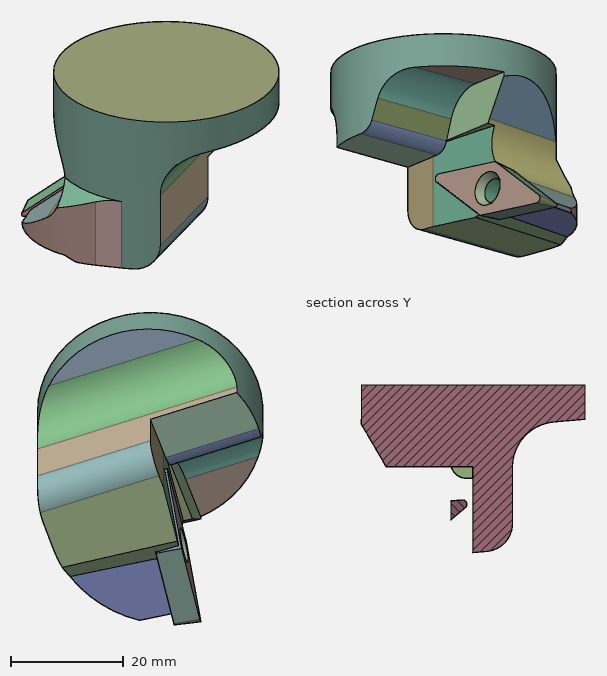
import cadquery as cq
import math

HEAD_DIAMETER = 40.0
HEAD_RADIUS = HEAD_DIAMETER / 2
HEAD_DEPTH = 16.55
TOTAL_HEIGHT = 32.0
OVERSIZE = 70.3

OVERHANG = 46.85 - HEAD_RADIUS
NOSE_RADIUS = 0.8
INSCRIBED_DIAMETER = 9.5
INSERT_ANGLE = 35.0
INSERT_THICKNESS = 4.75
RELIEF_ANGLE = 5.0
LEAD_ANGLE = 5.0
RAKE_ANGLE = 6.2
HOLE_DIAMETER = 4.4
HOLE_RIM_DIAMETER = 6.2
SINK_ANGLE = 60.0

BULGE_RADIUS = 22.05
BULGE_FLAT = 5.0
BULGE_SPAN = 20.6
SHOULDER_ANGLE = 60.0

POST_SIDE_X = 7.0
POST_CEILING_Z = -7.2
POST_FOOT_Z = -29.1
CEILING_FILLET = 7.95
FOOT_FILLET = 5.0

STEP_START_X = -13.35
STEP_END_X = -10.4
STEP_HEIGHT = 1.05

FLUTE_Y = 0.95
FLUTE_TOP = (-19.85, -6.2)
FLUTE_TIP = (-24.55, -30.1)
TIP_CHOP = (0.35, 0.65)
FLUTE_UPPER_ANGLE = 60.0
FLUTE_LOWER_ANGLE = LEAD_ANGLE + INSERT_ANGLE
FLUTE_FILLET = 8.05

POCKET_Y = 2.5
POCKET_CEILING_Z = -6.1
POCKET_WALL_X = -6.8
POCKET_WALL_ANGLE = 19.0
POCKET_FILLET = 7.05
POCKET_LIP_RADIUS = 2.8
RECESS_TOP_Z = -14.55
RECESS_DEPTH = 0.4

RAKE = math.radians(RAKE_ANGLE)
LEAD_SLOPE = math.tan(math.radians(LEAD_ANGLE))


def tilted_plane(x, y, z):
    """Plane along the insert face: local x along the face, local y up, normal into the holder."""
    return cq.Plane(
        origin=(x, y, z),
        xDir=(math.cos(RAKE), math.sin(RAKE), 0),
        normal=(math.sin(RAKE), -math.cos(RAKE), 0),
    )


NOSE_X = -OVERHANG + NOSE_RADIUS * math.cos(RAKE)
NOSE_Y = NOSE_RADIUS * math.sin(RAKE)
NOSE_PLANE = tilted_plane(NOSE_X, NOSE_Y, -TOTAL_HEIGHT + NOSE_RADIUS)


def polar(length, degrees):
    angle = math.radians(degrees)
    return length * math.cos(angle), length * math.sin(angle)


def make_insert_blank():
    """Tapered rhombus with rounded acute corners, without its hole."""
    side = INSCRIBED_DIAMETER / math.sin(math.radians(INSERT_ANGLE))
    half_diagonal = side * math.cos(math.radians(INSERT_ANGLE / 2))
    short_half = side * math.sin(math.radians(INSERT_ANGLE / 2))
    nose_offset = NOSE_RADIUS / math.sin(math.radians(INSERT_ANGLE / 2))
    bisector = LEAD_ANGLE + INSERT_ANGLE / 2
    center = polar(half_diagonal - nose_offset, bisector)
    points = []
    for reach, turn in ((half_diagonal, 180), (short_half, 270), (half_diagonal, 0), (short_half, 90)):
        dx, dy = polar(reach, bisector + turn)
        points.append((center[0] + dx, center[1] + dy))
    outline = cq.Sketch().polygon(points + points[:1])
    acute = outline.vertices(cq.selectors.NearestToPointSelector((*points[0], 0)))
    outline = acute.fillet(NOSE_RADIUS).reset()
    acute = outline.vertices(cq.selectors.NearestToPointSelector((*points[2], 0)))
    outline = acute.fillet(NOSE_RADIUS).reset()
    blank = cq.Workplane(NOSE_PLANE).placeSketch(outline).extrude(INSERT_THICKNESS, taper=RELIEF_ANGLE)
    return blank, center


def make_insert(blank, center):
    """Insert with a through hole that is countersunk on the cutting face."""
    bore = cq.Workplane(NOSE_PLANE).center(*center).circle(HOLE_DIAMETER / 2).extrude(INSERT_THICKNESS)
    sink_depth = (HOLE_RIM_DIAMETER - HOLE_DIAMETER) / 2 / math.tan(math.radians(SINK_ANGLE / 2))
    sink = (
        cq.Workplane(NOSE_PLANE).center(*center).circle(HOLE_RIM_DIAMETER / 2)
        .extrude(sink_depth, taper=SINK_ANGLE / 2)
    )
    return blank.cut(bore).cut(sink)


def make_bulge():
    """Support reaching toward -X, bounded above by a cone that starts at the head."""
    arc_center_y = BULGE_RADIUS - HEAD_RADIUS

    def arc_point(span):
        return -BULGE_FLAT - span, arc_center_y - math.sqrt(BULGE_RADIUS**2 - span**2)

    end = arc_point(BULGE_SPAN)
    prism = (
        cq.Workplane("XY").workplane(offset=-TOTAL_HEIGHT)
        .moveTo(0, -HEAD_RADIUS)
        .lineTo(-BULGE_FLAT, -HEAD_RADIUS)
        .threePointArc(arc_point(BULGE_SPAN / 2), end)
        .lineTo(end[0], POCKET_Y)
        .lineTo(0, POCKET_Y)
        .close()
        .extrude(TOTAL_HEIGHT - HEAD_DEPTH)
    )
    drop = TOTAL_HEIGHT - HEAD_DEPTH
    flare = drop / math.tan(math.radians(SHOULDER_ANGLE))
    cone = (
        cq.Workplane("XZ")
        .polyline([
            (0, -HEAD_DEPTH), (HEAD_RADIUS, -HEAD_DEPTH),
            (HEAD_RADIUS + flare, -TOTAL_HEIGHT), (0, -TOTAL_HEIGHT),
        ])
        .close()
        .revolve(360, (0, 0, 0), (0, 1, 0))
    )
    return prism.intersect(cone)


def make_side_clearance():
    """Cutter for the +X side of the post and its sloping underside."""
    far = OVERSIZE
    profile = (
        cq.Workplane("XZ").workplane(offset=-far)
        .polyline([
            (far, POST_CEILING_Z + (far - POST_SIDE_X) * LEAD_SLOPE),
            (POST_SIDE_X, POST_CEILING_Z),
            (POST_SIDE_X, POST_FOOT_Z),
            (-far, POST_FOOT_Z - (far + POST_SIDE_X) * LEAD_SLOPE),
            (-far, -far),
            (far, -far),
        ])
        .close()
        .extrude(2 * far)
    )
    ceiling_edge = cq.selectors.NearestToPointSelector((POST_SIDE_X, 0, POST_CEILING_Z))
    foot_edge = cq.selectors.NearestToPointSelector((POST_SIDE_X, 0, POST_FOOT_Z))
    return profile.edges(ceiling_edge).fillet(CEILING_FILLET).edges(foot_edge).fillet(FOOT_FILLET)


def tilted_cutter(points):
    """Prism across the part, normal to the insert face, from points (x, z) in the plane y = FLUTE_Y."""
    plane = tilted_plane(0, FLUTE_Y, 0)
    local = [(x / math.cos(RAKE), z) for x, z in points]
    return cq.Workplane(plane).polyline(local).close().extrude(OVERSIZE, both=True)


def make_bottom_step():
    """Cutter that raises the bottom behind the insert, ending in a ramp."""
    def bottom(x):
        return POST_FOOT_Z + (x - POST_SIDE_X) * LEAD_SLOPE

    return tilted_cutter([
        (-OVERSIZE, bottom(-OVERSIZE) + STEP_HEIGHT),
        (STEP_START_X, bottom(STEP_START_X) + STEP_HEIGHT),
        (STEP_END_X, bottom(STEP_END_X)),
        (STEP_END_X, -OVERSIZE),
        (-OVERSIZE, -OVERSIZE),
    ])


def make_flute():
    """V-shaped flute with a rounded root and a blunted tip below it."""
    upper = math.tan(math.radians(FLUTE_UPPER_ANGLE))
    lower = math.tan(math.radians(FLUTE_LOWER_ANGLE))
    width = FLUTE_TIP[0] - FLUTE_TOP[0]
    rise = FLUTE_TOP[1] - FLUTE_TIP[1]
    run = (rise + lower * width) / (upper + lower)
    root = (FLUTE_TOP[0] + run, FLUTE_TOP[1] - upper * run)
    start_x = FLUTE_TOP[0] + FLUTE_TOP[1] / upper
    chop_end = (FLUTE_TIP[0] + TIP_CHOP[0], FLUTE_TIP[1] - TIP_CHOP[1])
    cutter = tilted_cutter([
        (start_x, 0), root, FLUTE_TIP, chop_end,
        (chop_end[0], -OVERSIZE), (-OVERSIZE, -OVERSIZE), (-OVERSIZE, 0),
    ])
    root_edge = cq.selectors.NearestToPointSelector((root[0], FLUTE_Y, root[1]))
    return cutter.edges(root_edge).fillet(FLUTE_FILLET)


def make_pocket():
    """Cutter that opens the +Y half on the -X side and below the head."""
    lean = math.tan(math.radians(POCKET_WALL_ANGLE))
    lip_x = POCKET_WALL_X + (HEAD_DEPTH + POCKET_CEILING_Z) * lean
    cutter = (
        cq.Workplane("XZ").workplane(offset=-OVERSIZE)
        .polyline([
            (-OVERSIZE, POCKET_CEILING_Z),
            (POCKET_WALL_X, POCKET_CEILING_Z),
            (lip_x, -HEAD_DEPTH),
            (OVERSIZE, -HEAD_DEPTH),
            (OVERSIZE, -OVERSIZE),
            (-OVERSIZE, -OVERSIZE),
        ])
        .close()
        .extrude(OVERSIZE - POCKET_Y)
    )
    middle_y = (OVERSIZE + POCKET_Y) / 2
    ceiling_edge = cq.selectors.NearestToPointSelector((POCKET_WALL_X, middle_y, POCKET_CEILING_Z))
    lip_edge = cq.selectors.NearestToPointSelector((lip_x, middle_y, -HEAD_DEPTH))
    return cutter.edges(ceiling_edge).fillet(POCKET_FILLET).edges(lip_edge).fillet(POCKET_LIP_RADIUS)


def make_recess():
    """Wedge that lowers the holder face below and parallel to the insert face."""
    face_y = -RECESS_DEPTH / math.cos(RAKE)
    wedge_length = (POCKET_Y - face_y) / math.tan(RAKE)
    return (
        cq.Workplane("XY").workplane(offset=RECESS_TOP_Z)
        .polyline([
            (-OVERHANG, face_y),
            (-OVERHANG + wedge_length, POCKET_Y),
            (-OVERHANG, POCKET_Y),
        ])
        .close()
        .extrude(-OVERSIZE)
    )


def make_holder(insert_blank):
    holder = cq.Workplane("XY").circle(HEAD_RADIUS).extrude(-TOTAL_HEIGHT).union(make_bulge())
    cutters = (
        make_side_clearance(), make_bottom_step(), make_flute(),
        make_pocket(), make_recess(), insert_blank,
    )
    for cutter in cutters:
        holder = holder.cut(cutter)
    return holder


insert_blank, hole_center = make_insert_blank()
insert = make_insert(insert_blank, hole_center)
holder = make_holder(insert_blank)

result = cq.Compound.makeCompound([holder.val(), insert.val()])